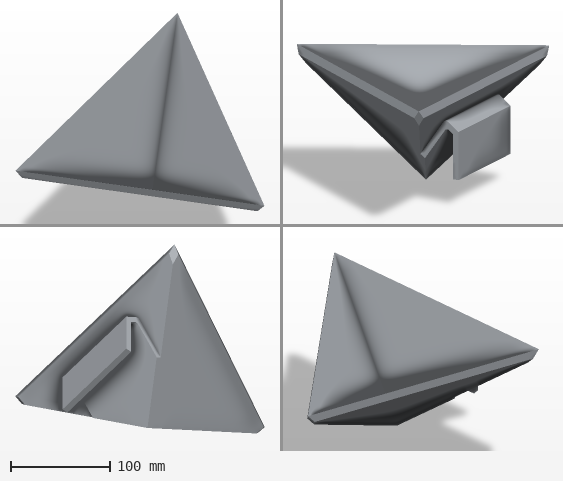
import cadquery as cq
import math

rim_side = 254.0
plate_thickness = 6.4
bevel_angle = 45.0
tip_facet_slope = 30.0

bracket_width = 101.5
bracket_thickness = plate_thickness
bracket_rise = 92.5
arm_length = 18.8
hanging_leg_length = 50.8
bend_radius = 3.3

inner_edge = rim_side / math.sqrt(2)
corner_depth = rim_side / math.sqrt(6)
rim_inradius = rim_side / (2 * math.sqrt(3))
rim_circumradius = rim_side / math.sqrt(3)
plate_tilt = math.degrees(math.atan(1 / math.sqrt(2)))
bevel_tilt = bevel_angle - plate_tilt
cutter_size = 3 * rim_side

side_headings = (90, 210, 330)
tip_headings = (30, 150, 270)


def direction(heading, elevation):
    """Unit vector from a heading about Z and an elevation above horizontal."""
    h = math.radians(heading)
    e = math.radians(elevation)
    return cq.Vector(math.cos(e) * math.cos(h), math.cos(e) * math.sin(h), math.sin(e))


edge_frame = cq.Plane(
    origin=(0, 0, -corner_depth),
    xDir=direction(270, plate_tilt),
    normal=direction(150, plate_tilt),
)


def corner_box(front_span, right_span, left_span):
    """Box between (start, end) distances along the three inner edges."""
    spans = (front_span, right_span, left_span)
    sizes = [end - start for start, end in spans]
    starts = tuple(start for start, end in spans)
    return cq.Workplane(edge_frame).box(*sizes, centered=False).translate(
        edge_frame.toWorldCoords(starts) - edge_frame.origin
    )


def outer_cutter(heading, radius, elevation):
    """Block outside a tilted plane that meets Z = 0 at the given radius."""
    plane = cq.Plane(
        origin=direction(heading, 0) * radius,
        xDir=direction(heading + 90, 0),
        normal=direction(heading, elevation),
    )
    return cq.Workplane(plane).rect(cutter_size, cutter_size).extrude(cutter_size)


def trim_rim(plate):
    """Bevel the rim edges and cut the facets at the tips."""
    for heading in side_headings:
        plate = plate.cut(outer_cutter(heading, rim_inradius, bevel_tilt))
    for heading in tip_headings:
        plate = plate.cut(outer_cutter(heading, rim_circumradius, -tip_facet_slope))
    return plate


wall = (-plate_thickness, 0)
butted = (0, inner_edge)
overlapping = (-plate_thickness, inner_edge)


def make_back_plate():
    """Plate that covers the ends of both side plates."""
    return trim_rim(corner_box(wall, overlapping, overlapping))


def make_left_plate():
    """Plate that butts on the back plate and covers the right plate."""
    return trim_rim(corner_box(butted, wall, overlapping))


def make_right_plate():
    """Plate that butts on both other plates."""
    return trim_rim(corner_box(butted, butted, wall))


def make_bracket():
    """Bent strip on the back plate, pointed at its lower end like the plate."""
    tilt = math.radians(plate_tilt)
    cos_tilt = math.cos(tilt)
    sin_tilt = math.sin(tilt)

    def profile_point(off_plate, up_plate):
        """(Y, Z) from distances square to and along the back plate's inner face."""
        return (
            off_plate * cos_tilt + up_plate * sin_tilt,
            -corner_depth - off_plate * sin_tilt + up_plate * cos_tilt,
        )

    contact = plate_thickness
    back = contact + bracket_thickness
    foot = -2 * plate_thickness
    outer_bend = profile_point(contact, bracket_rise)
    inner_bend = profile_point(back, bracket_rise - bracket_thickness)
    leg_outer_y, leg_top = profile_point(contact + arm_length, bracket_rise)
    leg_inner_y = leg_outer_y - bracket_thickness
    leg_bottom = leg_top - hanging_leg_length
    leg_inner_top = inner_bend[1] - (leg_inner_y - inner_bend[0]) * math.tan(tilt)

    strip = (
        cq.Workplane("YZ")
        .polyline([
            profile_point(contact, foot),
            outer_bend,
            (leg_outer_y, leg_top),
            (leg_outer_y, leg_bottom),
            (leg_inner_y, leg_bottom),
            (leg_inner_y, leg_inner_top),
            inner_bend,
            profile_point(back, foot),
        ])
        .close()
        .extrude(bracket_width / 2, both=True)
    )
    for bend in (outer_bend, inner_bend):
        strip = strip.edges(cq.NearestToPointSelector((0, *bend))).fillet(bend_radius)
    behind_plate = (-rim_side, -plate_thickness)
    return strip.intersect(corner_box(behind_plate, overlapping, overlapping))


back_plate = make_back_plate()
left_plate = make_left_plate()
right_plate = make_right_plate()
bracket = make_bracket()

result = cq.Compound.makeCompound([
    back_plate.solids().val(),
    left_plate.solids().val(),
    right_plate.solids().val(),
    bracket.solids().val(),
])